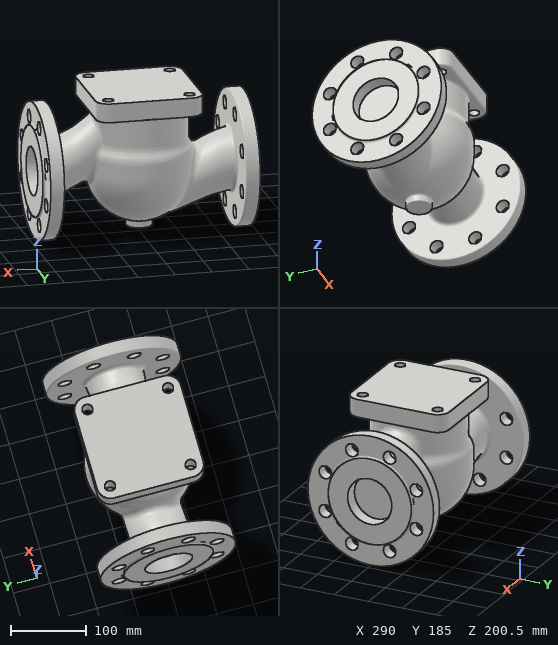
import cadquery as cq
import math

face_to_face = 290.0
flange_diameter = 185.0
flange_back = 123.0
raised_face_height = 3.0
flange_thickness = face_to_face / 2 - raised_face_height - flange_back
raised_face_radius = 61.2
flange_edge_round = 2.0
bolt_circle_radius = 72.5
bolt_hole_diameter = 18.0
bolt_count = 8
bore_diameter = 65.0
bore_depth = 20.0

plate_size = 145.0
plate_top = 108.0
plate_thickness = 26.7
plate_bottom = plate_top - plate_thickness
plate_corner_radius = 18.0
plate_edge_round = 3.0
plate_hole_diameter = 14.0
plate_hole_spacing = 110.2

neck_radius = 131.0 / 2
neck_fillet = 2.5
shoulder_top = 41.2
shoulder_bottom = 18.5
bowl_radius = 72.5
bowl_depth = 74.5
bowl_center_z = -1.7
drain_diameter = 35.0
drain_bottom = -84.0
drain_edge_round = 0.5

flange_fillet = 4.5
inlet_body_fillet = 8.7
outlet_body_fillet = 7.2
drain_fillet = 3.0

joint_inner_x = 23.2
joint_outer_x = 81.2
drain_joint_height = 5.8
tolerance = 0.03

INLET = -1
OUTLET = 1

inlet_sections = [
    ((-124.0, 41.2), (-124.0, -42.5), 41.2),
    ((-118.0, 40.0), (-114.5, -44.0), 41.0),
    ((-90.0, 30.2), (-69.5, -58.0), 40.0),
    ((-75.5, 22.0), (-43.5, -67.5), 39.7),
    ((-55.0, 11.5), (-14.5, -73.5), 39.5),
]
outlet_sections = [
    ((124.0, 43.8), (124.0, -38.3), 40.0),
    ((116.5, 45.2), (118.3, -36.5), 39.5),
    ((90.0, 54.5), (95.7, -26.5), 36.5),
    ((68.5, 70.5), (72.5, -16.2), 33.5),
    ((52.2, 79.2), (52.2, -11.5), 32.0),
]


def make_body():
    """Neck, S-shaped shoulder and bowl."""
    rise = shoulder_top - shoulder_bottom
    step = bowl_radius - neck_radius
    turn = 2 * math.atan(step / rise)
    arc_radius = rise / (2 * math.sin(turn))
    mid_x = neck_radius + step / 2
    mid_z = shoulder_bottom + rise / 2
    return (
        cq.Workplane("XZ")
        .moveTo(0, plate_bottom)
        .lineTo(neck_radius + neck_fillet, plate_bottom)
        .radiusArc((neck_radius, plate_bottom - neck_fillet), -neck_fillet)
        .lineTo(neck_radius, shoulder_top)
        .radiusArc((mid_x, mid_z), -arc_radius)
        .radiusArc((bowl_radius, shoulder_bottom), arc_radius)
        .lineTo(bowl_radius, bowl_center_z)
        .ellipseArc(bowl_radius, bowl_depth, -90, 0, startAtCurrent=True, sense=-1)
        .close()
        .revolve(360, (0, 0, 0), (0, 1, 0))
        .rotate((0, 0, 0), (0, 0, 1), 90)
    )


def make_plate():
    """Square plate with rounded corners and a rounded lower edge."""
    return (
        cq.Workplane("XY", origin=(0, 0, plate_bottom))
        .rect(plate_size, plate_size)
        .extrude(plate_thickness)
        .edges("|Z").fillet(plate_corner_radius)
        .faces("<Z").edges().fillet(plate_edge_round)
    )


def make_pipe(sections):
    """Smooth loft through ellipses standing on tilted planes."""
    wires = []
    for (top_x, top_z), (bottom_x, bottom_z), half_width in sections:
        across = cq.Vector(top_x - bottom_x, 0, top_z - bottom_z)
        center = ((top_x + bottom_x) / 2, 0, (top_z + bottom_z) / 2)
        plane = cq.Plane(center, xDir=across, normal=across.cross(cq.Vector(0, 1, 0)))
        wires.append(cq.Workplane(plane).ellipse(across.Length / 2, half_width).wires().val())
    return cq.Workplane(cq.Solid.makeLoft(wires))


def make_flange(side):
    """Revolved end flange with a raised face; side is -1 for the inlet and +1 for the outlet."""
    front = flange_back + flange_thickness
    radius = flange_diameter / 2
    flange = (
        cq.Workplane("XY")
        .moveTo(flange_back, 0)
        .lineTo(flange_back, radius - flange_edge_round)
        .radiusArc((flange_back + flange_edge_round, radius), flange_edge_round)
        .lineTo(front, radius)
        .lineTo(front, raised_face_radius + raised_face_height)
        .radiusArc((front + raised_face_height, raised_face_radius), -raised_face_height)
        .lineTo(front + raised_face_height, 0)
        .close()
        .revolve(360, (0, 0, 0), (1, 0, 0))
    )
    if side < 0:
        flange = flange.mirror("YZ")
    return flange


def add_drain_boss(body):
    """Short round boss under the bowl, blended into it."""
    boss = (
        cq.Workplane("XY", origin=(0, 0, drain_bottom))
        .circle(drain_diameter / 2)
        .extrude(bowl_center_z - drain_bottom)
        .faces("<Z").edges().fillet(drain_edge_round)
    )
    bowl_bottom = bowl_center_z - bowl_depth
    around_boss = cq.selectors.BoxSelector(
        (-drain_diameter, -drain_diameter, bowl_bottom),
        (drain_diameter, drain_diameter, bowl_bottom + drain_joint_height),
    )
    return body.union(boss).edges(around_boss).fillet(drain_fillet)


def is_body_joint(edge, side):
    """Intersection curve between the body and the pipe on the given side."""
    return edge.geomType() == "BSPLINE" and joint_inner_x < side * edge.Center().x < joint_outer_x


def is_flange_joint(edge, side):
    """Root outline of the pipe on the inner flange face of the given side."""
    on_face = abs(edge.Center().x - side * flange_back) < tolerance
    return on_face and edge.BoundingBox().zlen < flange_diameter / 2


def blend(part, is_joint, side, radius):
    """Fillet every edge of the part that passes the joint test."""
    joint = [edge for edge in part.edges().vals() if is_joint(edge, side)]
    return part.newObject(joint).fillet(radius)


def add_port(part, side, sections, body_fillet):
    """Pipe, end flange and the fillets that blend them together."""
    part = part.union(make_pipe(sections))
    part = blend(part, is_body_joint, side, body_fillet)
    part = part.union(make_flange(side))
    return blend(part, is_flange_joint, side, flange_fillet)


def make_flange_holes(side):
    """Bolt holes and blind bore of one flange, as a tool to cut away."""
    face = cq.Workplane("YZ", origin=(side * face_to_face / 2, 0, 0))
    bolt_holes = (
        face.polarArray(bolt_circle_radius, 180 / bolt_count, 360, bolt_count)
        .circle(bolt_hole_diameter / 2)
        .extrude(-side * (raised_face_height + flange_thickness))
    )
    bore = face.circle(bore_diameter / 2).extrude(-side * bore_depth)
    return bolt_holes.union(bore)


def make_plate_holes():
    """Four through holes near the plate corners, as a tool to cut away."""
    return (
        cq.Workplane("XY", origin=(0, 0, plate_bottom))
        .rect(plate_hole_spacing, plate_hole_spacing, forConstruction=True)
        .vertices()
        .circle(plate_hole_diameter / 2)
        .extrude(plate_thickness)
    )


part = add_drain_boss(make_body())
part = add_port(part, INLET, inlet_sections, inlet_body_fillet)
part = add_port(part, OUTLET, outlet_sections, outlet_body_fillet)
part = part.union(make_plate()).cut(make_plate_holes())
for side in (INLET, OUTLET):
    part = part.cut(make_flange_holes(side))
result = part